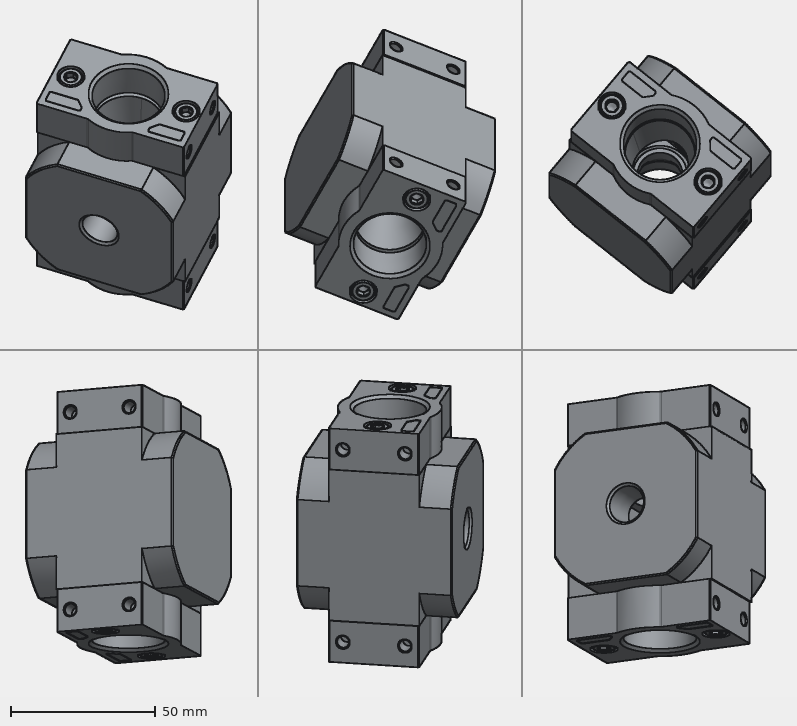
import cadquery as cq
import math

total_height = 85.0
housing_size = 55.0
flange_overhang = 0.5

body_depth = 32.0
corner_diameter = 63.3
end_face_chamfer = 0.5

gauge_port_diameter = 13.0
gauge_port_inner_diameter = 11.9
gauge_port_mouth = 14.8
gauge_port_chamfer_depth = 0.85

chamber_size = 25.5
chamber_height = 17.0
passage_mouth = 24.1
throat_width = 18.2
throat_length = 21.2
nozzle_bore = 15.6
nozzle_tip_diameter = 18.8
nozzle_base_diameter = 22.5
nozzle_cone_height = 3.6

flange_bulge_diameter = 36.0
bulge_blend_radius = 1.0
flange_edge_chamfer = 0.4
port_diameter = 25.25
port_inner_diameter = 24.5
port_mouth = 27.7
port_chamfer_depth = 1.1
seal_recess_diameter = 30.0
seal_recess_depth = 1.7

side_hole_diameter = 4.2
side_hole_mouth = 5.0
side_hole_depth = 6.8
side_hole_spacing = 21.9

label_depth = 0.25
label_top = -9.0
label_bottom = -13.5
label_slant = 2.55
label_straight_end = 1.7
label_corner_radius = 0.7
left_label = (-25.7, -12.7)
right_label = (24.7, 12.6)

screw_spacing = 43.0
screw_head_diameter = 8.5
screw_head_top_diameter = 7.5
screw_head_height = 5.0
screw_head_recess = 0.25
counterbore_diameter = 9.5
screw_diameter = 5.0
screw_reach = 8.5
socket_mouth = 4.8
socket_width = 4.0
socket_turn = 30
socket_depth = 2.55
socket_tip_depth = 1.0

half_housing = housing_size / 2
half_height = total_height / 2
half_chamber = chamber_height / 2
flange_height = half_height - half_housing
flange_x = -flange_overhang
counterbore_depth = screw_head_recess + screw_head_height
screw_head_top = half_height - screw_head_recess
screw_seat = half_height - counterbore_depth
screw_end = half_housing - screw_reach
screw_places = [(-screw_spacing / 2, 0), (screw_spacing / 2, 0)]


def turned(profile):
    """Solid of revolution about Z from (radius, z) points."""
    return cq.Workplane("XZ").polyline(profile).close().revolve(360, (0, 0, 0), (0, 1, 0))


def cylinder_z(diameter, bottom, top):
    return cq.Workplane("XY").workplane(offset=bottom).circle(diameter / 2).extrude(top - bottom)


def upside_down(part):
    return part.mirror("XY")


def end_blocks():
    """Full-depth block with rounded corners and chamfered front and rear outlines."""
    block = cq.Workplane("XY").box(housing_size, housing_size, housing_size)
    rounding = cq.Workplane("XZ").circle(corner_diameter / 2).extrude(half_housing, both=True)
    return block.intersect(rounding).faces("<Y or >Y").chamfer(end_face_chamfer)


def nozzle():
    """Bored stub standing on the chamber floor, with a conical tip level with the port axis."""
    tip_radius = nozzle_tip_diameter / 2
    base_radius = nozzle_base_diameter / 2
    return turned([
        (0, -half_chamber),
        (base_radius, -half_chamber),
        (base_radius, -nozzle_cone_height),
        (tip_radius, 0),
        (0, 0),
    ])


def upper_passage():
    """Passage from an oval throat at the chamber roof to a round mouth in the top face."""
    return (
        cq.Workplane("XY").workplane(offset=half_chamber)
        .ellipse(throat_width / 2, throat_length / 2)
        .workplane(offset=half_housing - half_chamber)
        .circle(passage_mouth / 2).loft()
    )


def lower_passage():
    """Cone from the nozzle bore, widening down to a round mouth in the bottom face."""
    return turned([
        (0, -half_chamber),
        (nozzle_bore / 2, -half_chamber),
        (passage_mouth / 2, -half_housing),
        (0, -half_housing),
    ])


def gauge_port():
    """Chamfered, tapered hole from the front face to the chamber wall."""
    mouth_radius = gauge_port_mouth / 2
    outer_radius = gauge_port_diameter / 2
    inner_radius = gauge_port_inner_diameter / 2
    port = turned([
        (0, chamber_size / 2),
        (inner_radius, chamber_size / 2),
        (outer_radius, half_housing - gauge_port_chamfer_depth),
        (mouth_radius, half_housing),
        (0, half_housing),
    ])
    return port.rotate((0, 0, 0), (1, 0, 0), 90)


def make_housing():
    core = cq.Workplane("XY").box(housing_size, body_depth, housing_size)
    chamber = cq.Workplane("XY").box(chamber_size, chamber_size, chamber_height)
    body = core.union(end_blocks()).cut(chamber).cut(gauge_port())
    body = body.union(nozzle()).cut(cylinder_z(nozzle_bore, -half_chamber, 0))
    body = body.cut(upper_passage()).cut(lower_passage())
    threads = (
        cq.Workplane("XY").workplane(offset=screw_end)
        .pushPoints(screw_places).circle(screw_diameter / 2).extrude(screw_reach)
    )
    return body.cut(threads).cut(upside_down(threads))


def flange_blank():
    """Plate with a round bulge on both long sides, blended where they meet."""
    plate = (
        cq.Workplane("XY").workplane(offset=half_housing)
        .rect(housing_size, body_depth).extrude(flange_height)
        .edges("|Z").chamfer(flange_edge_chamfer)
    )
    bulge = cylinder_z(flange_bulge_diameter, half_housing, half_height)
    half_chord = math.sqrt(flange_bulge_diameter ** 2 - body_depth ** 2) / 2
    blend_zone = half_chord + flange_edge_chamfer
    selector = cq.selectors.BoxSelector(
        (-blend_zone, -half_housing, half_housing), (blend_zone, half_housing, half_height)
    )
    blank = plate.union(bulge).edges("|Z").edges(selector).fillet(bulge_blend_radius)
    return blank.translate((flange_x, 0, 0))


def flange_port():
    """Chamfered, tapered port with a wider seal recess at the housing."""
    mouth_radius = port_mouth / 2
    outer_radius = port_diameter / 2
    inner_radius = port_inner_diameter / 2
    recess_radius = seal_recess_diameter / 2
    recess_top = half_housing + seal_recess_depth
    return turned([
        (0, half_housing),
        (recess_radius, half_housing),
        (recess_radius, recess_top),
        (inner_radius, recess_top),
        (outer_radius, half_height - port_chamfer_depth),
        (mouth_radius, half_height),
        (0, half_height),
    ])


def side_holes():
    """Countersunk blind holes in both short ends of a flange."""
    hole_radius = side_hole_diameter / 2
    mouth_radius = side_hole_mouth / 2
    hole = turned([
        (0, 0),
        (mouth_radius, 0),
        (hole_radius, mouth_radius - hole_radius),
        (hole_radius, side_hole_depth),
        (0, side_hole_depth),
    ])
    holes = cq.Workplane("XY")
    for side in (-1, 1):
        inward = hole.rotate((0, 0, 0), (0, 1, 0), -90 * side)
        for y_side in (-1, 1):
            holes = holes.add(inward.translate((
                flange_x + side * half_housing,
                y_side * side_hole_spacing / 2,
                half_housing + flange_height / 2,
            )))
    return holes.combine()


def label_recess(outer_x, inner_x):
    """Shallow pocket with its inner end slanted away from the port."""
    outward = math.copysign(1, outer_x)
    return (
        cq.Workplane("XY").workplane(offset=half_height - label_depth)
        .polyline([
            (outer_x, label_bottom),
            (inner_x, label_bottom),
            (inner_x, label_bottom + label_straight_end),
            (inner_x + outward * label_slant, label_top),
            (outer_x, label_top),
        ]).close().extrude(label_depth)
        .edges("|Z").fillet(label_corner_radius)
    )


def make_flange():
    """Upper flange, on top of the housing."""
    flange = flange_blank().cut(flange_port()).cut(side_holes())
    for outer_x, inner_x in (left_label, right_label):
        flange = flange.cut(label_recess(outer_x, inner_x))
    return (
        flange.faces(">Z").workplane(origin=(0, 0, half_height))
        .pushPoints(screw_places)
        .cboreHole(screw_diameter, counterbore_diameter, counterbore_depth)
    )


def make_screw(place):
    """Socket-head screw through the upper flange into the housing."""
    head_radius = screw_head_diameter / 2
    top_radius = screw_head_top_diameter / 2
    shank_radius = screw_diameter / 2
    body = turned([
        (0, screw_end),
        (shank_radius, screw_end),
        (shank_radius, screw_seat),
        (head_radius, screw_seat),
        (head_radius, screw_head_top - (head_radius - top_radius)),
        (top_radius, screw_head_top),
        (0, screw_head_top),
    ])
    socket_floor = screw_head_top - socket_depth
    across_corners = socket_width / math.cos(math.pi / 6)
    socket = (
        cq.Workplane("XY").workplane(offset=socket_floor)
        .polygon(6, across_corners).extrude(socket_depth)
        .rotate((0, 0, 0), (0, 0, 1), socket_turn)
    )
    socket_tip = turned([
        (0, socket_floor - socket_tip_depth),
        (socket_width / 2, socket_floor),
        (0, socket_floor),
    ])
    countersink = turned([
        (0, screw_head_top),
        (socket_mouth / 2, screw_head_top),
        (0, screw_head_top - socket_mouth / 2),
    ])
    return body.cut(socket).cut(socket_tip).cut(countersink).translate((*place, 0))


housing = make_housing()
top_flange = make_flange()
bottom_flange = upside_down(top_flange)

screws = []
for place in screw_places:
    screw = make_screw(place)
    screws += [screw.val(), upside_down(screw).val()]

result = cq.Compound.makeCompound([housing.val(), top_flange.val(), bottom_flange.val(), *screws])